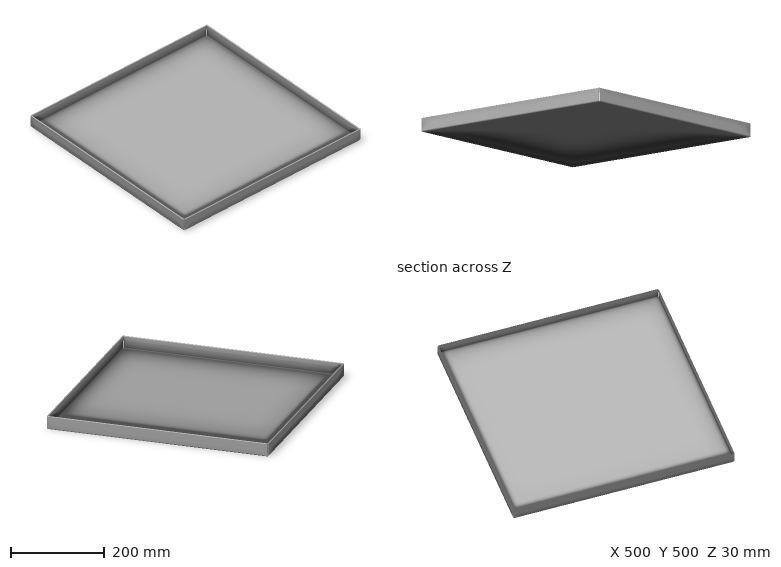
import cadquery as cq

side = 500.0
height = 30.0

sheet = 1.0
bend_radius = 3.0
hem_radius = 1.5
hem_depth = 10.0
corner_inset = 2.0

half = side / 2
flat_half = half - bend_radius
wall_half_length = half - corner_inset
wall_inner = half - sheet
hem_center = half - hem_radius
hem_inner = half - 2 * hem_radius
hem_outer = hem_inner + sheet
hem_center_z = height - hem_radius
hem_edge_z = height - hem_depth


def make_floor():
    """Flat floor reaching to the start of the bends."""
    return cq.Workplane("XY").rect(2 * flat_half, 2 * flat_half).extrude(sheet)


def make_wall():
    """Bend, wall and inward hem along the +X side, mitred at both ends."""
    strip = (
        cq.Workplane("XZ")
        .moveTo(flat_half, 0)
        .radiusArc((half, bend_radius), -bend_radius)
        .lineTo(half, hem_center_z)
        .threePointArc((hem_center, height), (hem_inner, hem_center_z))
        .lineTo(hem_inner, hem_edge_z)
        .lineTo(hem_outer, hem_edge_z)
        .lineTo(hem_outer, hem_center_z)
        .threePointArc((hem_center, height - sheet), (wall_inner, hem_center_z))
        .lineTo(wall_inner, bend_radius)
        .radiusArc((flat_half, sheet), bend_radius - sheet)
        .close()
        .extrude(wall_half_length, both=True)
    )
    miter = (
        cq.Workplane("XY")
        .polyline([(0, 0), (side, -side), (side, side)])
        .close()
        .extrude(height)
    )
    return strip.intersect(miter)


wall = make_wall()
result = make_floor()
for turn in range(4):
    result = result.union(wall.rotate((0, 0, 0), (0, 0, 1), 90 * turn))